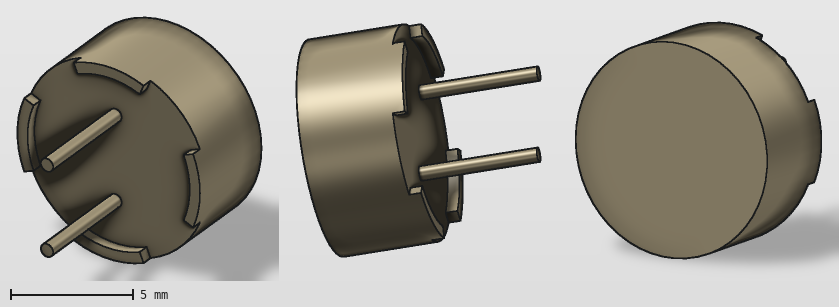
import cadquery as cq
import math

body_diameter = 9.0
overall_depth = 9.0
body_depth = 4.0
rib_height = 0.5
rib_thickness = 0.5
rib_count = 4
pin_diameter = 0.6
pin_spacing = 4.0

body_radius = body_diameter / 2
recess_radius = body_radius - rib_thickness
pin_length = overall_depth - body_depth

rib_pitch = 360 / rib_count
gap_span = rib_pitch / 2
gap_reach = 1.5 * body_radius


def point_at(radius, angle):
    """Point on a circle about the body axis, angle in degrees."""
    return (radius * math.cos(math.radians(angle)), radius * math.sin(math.radians(angle)))


def rim_gap(middle):
    """Wedge from the body axis past the rim, centred on the angle `middle`."""
    return (
        cq.Workplane("XZ")
        .polyline([
            (0, 0),
            point_at(gap_reach, middle - gap_span / 2),
            point_at(gap_reach, middle + gap_span / 2),
        ])
        .close()
        .extrude(rib_height)
    )


result = (
    cq.Workplane("XZ", origin=(0, body_depth, 0))
    .circle(body_radius)
    .extrude(body_depth + rib_height)
)

recess = cq.Workplane("XZ").circle(recess_radius).extrude(rib_height)
result = result.cut(recess)

for index in range(rib_count):
    result = result.cut(rim_gap((index + 0.5) * rib_pitch))

pins = (
    cq.Workplane("XZ")
    .pushPoints([(0, pin_spacing / 2), (0, -pin_spacing / 2)])
    .circle(pin_diameter / 2)
    .extrude(pin_length)
)
result = result.union(pins)